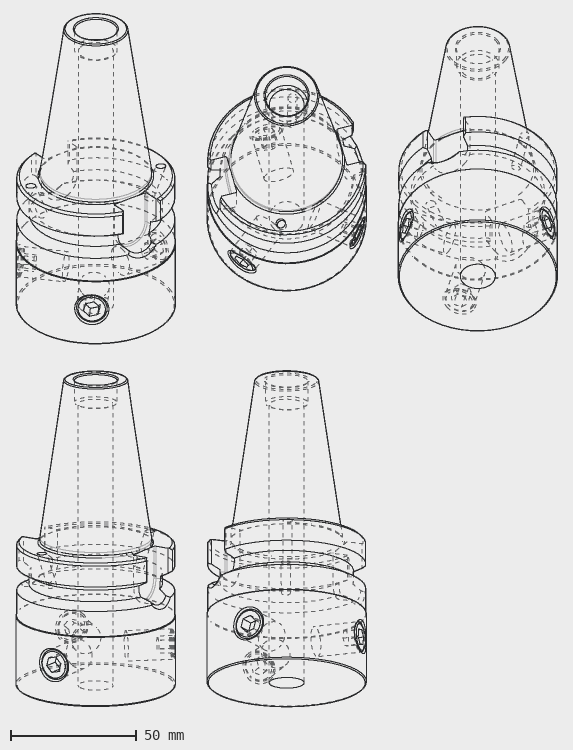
import cadquery as cq
import math

total_height = 126.4
clamp_height = 29.0
flange_top = 59.0
gauge_height = 61.0
root_fillet = 0.8

tolerance = 0.001
cutter_overshoot = 2.5

clamp_radius = 31.7
flange_radius = 31.5
gauge_radius = 22.2
taper_slope = 3.5 / 24
tip_radius = gauge_radius - taper_slope * (total_height - gauge_height)
bottom_chamfer = 0.5
tip_chamfer = 0.5
flange_chamfer = 1.0

groove_root_radius = 26.5
groove_center = 44.4
groove_root_half = 2.4
groove_mouth_half = 5.0

slot_turns = (0, 180)
slot_width = 16.0
slot_floor = 22.6
slot_arc_center = 45.9
slot_floor_fillet = 0.6
slot_mouth_chamfer = 1.5

bore_radius = 7.0
pilot_radius = 8.5
pilot_depth = 9.6
pilot_floor_drop = 0.6
bore_mouth_chamfer = 0.5

coolant_diameter = 3.7
coolant_circle_radius = 27.0
coolant_angles = (70, 250)
coolant_tilt = 20
coolant_depth = 15.2

screw_angles = (90, 220, 320)
screw_height = 15.9
screw_radius = 6.1
screw_length = 19.0
screw_face = 31.2
screw_chamfer = 0.6
hole_mouth_chamfer = 0.8
socket_across_flats = 6.0
socket_depth = 6.3
socket_twist = 15


def revolved(outline):
    """Turn an XZ outline around the Z axis."""
    return outline.close().revolve(360, (0, 0, 0), (0, 1, 0))


def is_mouth_edge(edge, radius):
    """True for an edge that an opening leaves in a cylinder about Z, but not for its rims or seam."""
    on_surface = all(abs(math.hypot(v.X, v.Y) - radius) < tolerance for v in edge.Vertices())
    on_seam = edge.geomType() == "LINE" and abs(edge.Center().y) < tolerance
    return on_surface and not on_seam and edge.geomType() != "CIRCLE"


def chamfer_mouths(part, radius, size):
    """Chamfer the edges of all openings in a cylinder of the given radius."""
    return part.edges().filter(lambda edge: is_mouth_edge(edge, radius)).chamfer(size)


def make_flange():
    """Plain flange cylinder with its two drive slots and their chamfered mouths."""
    flange = (
        cq.Workplane("XY", origin=(0, 0, clamp_height))
        .circle(flange_radius)
        .extrude(flange_top - clamp_height)
    )
    flange = cut_slots(flange)
    return chamfer_mouths(flange, flange_radius, slot_mouth_chamfer)


def slot_cutter():
    """Round-ended slot on the +X side, open outward and at the top, with a filleted floor edge."""
    half = slot_width / 2
    return (
        cq.Workplane("YZ", origin=(slot_floor, 0, 0))
        .moveTo(-half, flange_top + cutter_overshoot)
        .lineTo(-half, slot_arc_center)
        .threePointArc((0, slot_arc_center - half), (half, slot_arc_center))
        .lineTo(half, flange_top + cutter_overshoot)
        .close()
        .extrude(flange_radius - slot_floor + cutter_overshoot)
        .faces("<X")
        .edges("not >Z")
        .fillet(slot_floor_fillet)
    )


def cut_slots(part):
    """Cut both drive slots from a part."""
    for turn in slot_turns:
        part = part.cut(slot_cutter().rotate((0, 0, 0), (0, 0, 1), turn))
    return part


def groove_cutter():
    """Ring with the V section of the gripper groove, its sides carried on past the flange surface."""
    side_slope = (groove_mouth_half - groove_root_half) / (flange_radius - groove_root_radius)
    outer_half = groove_mouth_half + cutter_overshoot * side_slope
    return revolved(
        cq.Workplane("XZ")
        .moveTo(groove_root_radius, groove_center - groove_root_half)
        .lineTo(flange_radius + cutter_overshoot, groove_center - outer_half)
        .lineTo(flange_radius + cutter_overshoot, groove_center + outer_half)
        .lineTo(groove_root_radius, groove_center + groove_root_half)
    )


def flange_chamfer_cutter():
    """Triangular ring that bevels the upper rim of the flange."""
    return revolved(
        cq.Workplane("XZ")
        .moveTo(flange_radius - flange_chamfer, flange_top)
        .lineTo(flange_radius + flange_chamfer, flange_top)
        .lineTo(flange_radius + flange_chamfer, flange_top - 2 * flange_chamfer)
    )


def make_taper():
    """Steep taper standing on the flange, with a concave fillet at its base."""
    fillet_mid = root_fillet * (1 - math.sqrt(0.5))
    return revolved(
        cq.Workplane("XZ")
        .moveTo(0, flange_top)
        .lineTo(gauge_radius + root_fillet, flange_top)
        .threePointArc(
            (gauge_radius + fillet_mid, flange_top + fillet_mid),
            (gauge_radius, flange_top + root_fillet),
        )
        .lineTo(gauge_radius, gauge_height)
        .lineTo(tip_radius + taper_slope * tip_chamfer, total_height - tip_chamfer)
        .lineTo(tip_radius - tip_chamfer, total_height)
        .lineTo(0, total_height)
    )


def bore_cutter():
    """Through bore with a wider pilot at the taper tip."""
    return revolved(
        cq.Workplane("XZ")
        .lineTo(bore_radius, 0)
        .lineTo(bore_radius, total_height - pilot_depth - pilot_floor_drop)
        .lineTo(pilot_radius, total_height - pilot_depth)
        .lineTo(pilot_radius, total_height - bore_mouth_chamfer)
        .lineTo(pilot_radius + bore_mouth_chamfer, total_height)
        .lineTo(0, total_height)
    )


def coolant_cutter(angle):
    """Blind hole that leans toward the axis on the way down from the flange face."""
    tilt = math.radians(coolant_tilt)
    direction = cq.Vector(-math.sin(tilt), 0, -math.cos(tilt))
    start = cq.Vector(coolant_circle_radius, 0, flange_top) - direction * cutter_overshoot
    hole = cq.Solid.makeCylinder(
        coolant_diameter / 2, coolant_depth + cutter_overshoot, start, direction
    )
    return hole.rotate(cq.Vector(0, 0, 0), cq.Vector(0, 0, 1), angle)


def radial_plane(angle, distance):
    """Plane facing outward at an angle about Z, at the screw height."""
    turn = math.radians(angle)
    outward = (math.cos(turn), math.sin(turn), 0)
    origin = (distance * outward[0], distance * outward[1], screw_height)
    across = (-outward[1], outward[0], 0)
    return cq.Plane(origin=origin, xDir=across, normal=outward)


def screw_hole_cutter(angle):
    """Blind hole that one clamping screw fills."""
    hole_bottom = screw_face - screw_length
    return (
        cq.Workplane(radial_plane(angle, hole_bottom))
        .circle(screw_radius)
        .extrude(clamp_radius + cutter_overshoot - hole_bottom)
    )


def make_clamp_body():
    """Cylinder with chamfered rims and screw holes, the holes chamfered where they break out."""
    body = cq.Workplane("XY").circle(clamp_radius).extrude(clamp_height)
    body = body.faces("<Z").edges().chamfer(bottom_chamfer)
    body = body.faces(">Z").edges().chamfer(clamp_radius - flange_radius)
    for angle in screw_angles:
        body = body.cut(screw_hole_cutter(angle))
    return chamfer_mouths(body, clamp_radius, hole_mouth_chamfer)


def make_housing():
    """Clamping body, flange and taper in one piece, with all bores and slots."""
    housing = make_flange().cut(groove_cutter()).cut(flange_chamfer_cutter())
    taper = cut_slots(make_taper())
    housing = housing.union(make_clamp_body()).union(taper).cut(bore_cutter())
    for angle in coolant_angles:
        housing = housing.cut(cq.Workplane(coolant_cutter(angle)))
    return housing


def make_screw(angle):
    """Headless screw with a chamfered outer end and a hexagon socket."""
    corner_diameter = socket_across_flats / math.cos(math.pi / 6)
    face_plane = radial_plane(angle, screw_face)
    body = cq.Workplane(face_plane).circle(screw_radius).extrude(-screw_length)
    outer_face = cq.DirectionMinMaxSelector(face_plane.zDir)
    body = body.faces(outer_face).edges().chamfer(screw_chamfer)
    socket = (
        cq.Workplane(face_plane)
        .transformed(rotate=(0, 0, socket_twist))
        .polygon(6, corner_diameter)
        .extrude(-socket_depth)
    )
    return body.cut(socket)


housing = make_housing()
screws = [make_screw(angle) for angle in screw_angles]

result = cq.Compound.makeCompound([housing.val(), *(screw.val() for screw in screws)])